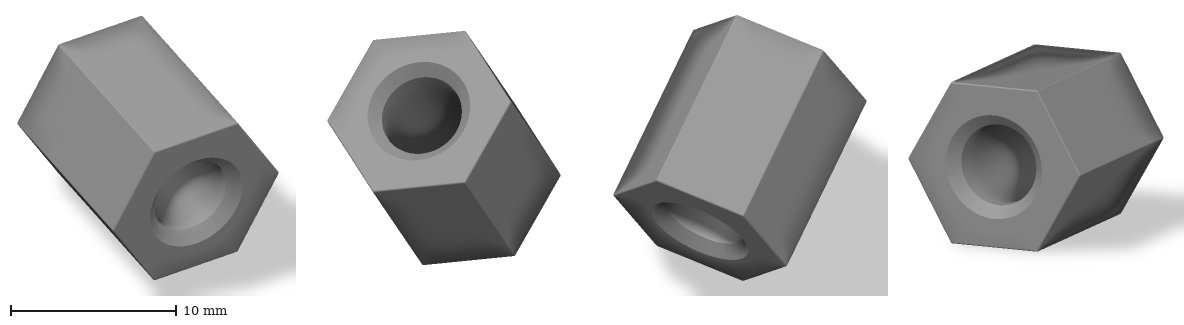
import cadquery as cq
import math

length = 12.0
across_flats = 10.0
edge_radius = 0.1
bore_diameter = 5.0
countersink_diameter = 6.42
countersink_angle = 90.0

across_corners = across_flats / math.cos(math.radians(30))
countersink_depth = (
    (countersink_diameter - bore_diameter) / 2 / math.tan(math.radians(countersink_angle / 2))
)


def hexagonal_body():
    """Hexagonal prism centred on the origin, with every outer edge rounded."""
    prism = cq.Workplane("YZ").polygon(6, across_corners).extrude(length / 2, both=True)
    return prism.edges().fillet(edge_radius)


def countersunk_bore():
    """Through bore with a conical countersink at each end, revolved about X."""
    end = length / 2
    cone_root = end - countersink_depth
    bore_radius = bore_diameter / 2
    mouth_radius = countersink_diameter / 2
    profile = [
        (-end, 0),
        (-end, mouth_radius),
        (-cone_root, bore_radius),
        (cone_root, bore_radius),
        (end, mouth_radius),
        (end, 0),
    ]
    return cq.Workplane("XY").polyline(profile).close().revolve(360, (0, 0, 0), (1, 0, 0))


result = hexagonal_body().cut(countersunk_bore())